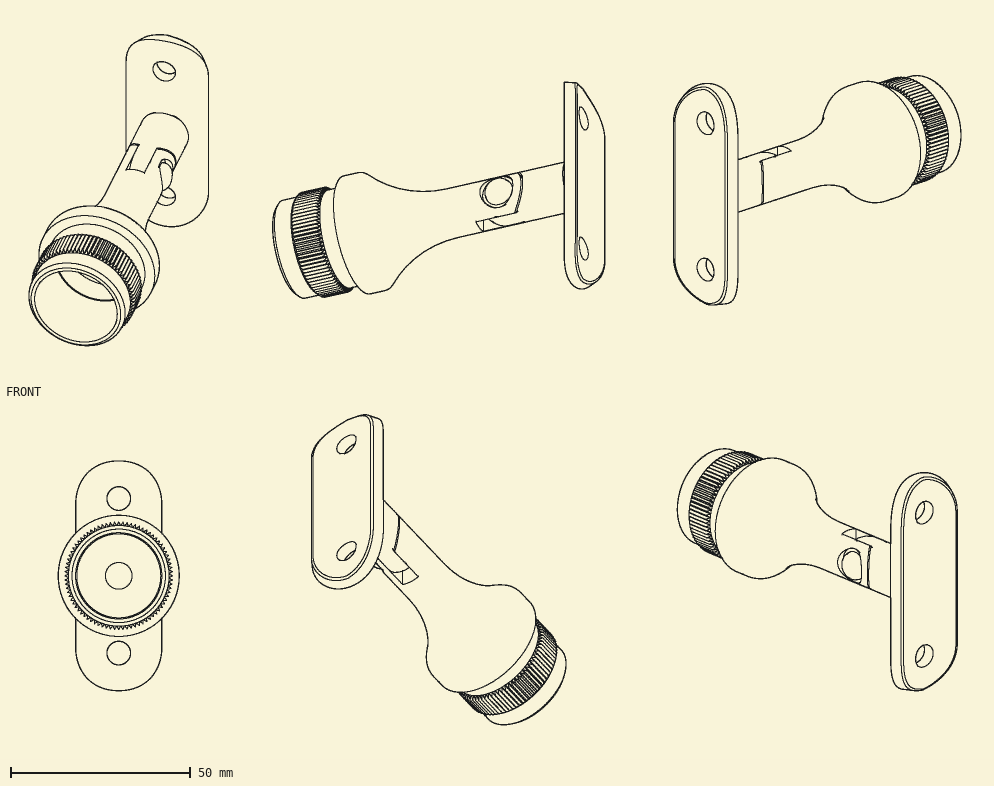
import cadquery as cq
import math

total_length = 90.65

rod_diameter = 14.0
rod_radius = rod_diameter / 2

saddle_width = 24.0
saddle_height = 64.0
saddle_outer_radius = 24.0
saddle_inner_radius = 20.4
saddle_bevel = 0.5
saddle_hole_diameter = 6.5
saddle_hole_height = 21.5
saddle_seat_y = 85.0
saddle_half_angle = math.asin(saddle_width / 2 / saddle_outer_radius)
saddle_tip_angle = saddle_half_angle - saddle_bevel / saddle_inner_radius
saddle_axis_y = total_length + saddle_inner_radius * math.cos(saddle_tip_angle)

joint_y = 65.0
joint_gap = 0.5
tongue_thickness = 5.3
slot_depth = 8.0
fork_end_radius = 7.4

shank_diameter = 5.0
shank_end_x = -5.4
head_diameter = 8.1
head_round = 2.9
head_top_x = 7.9
counterbore_diameter = 10.0
counterbore_floor_x = 4.9

flange_radius = 33.7 / 2
flange_base_y = 20.0
flange_round = 1.5
bell_start_y = 48.7
bell_arc_radius = 33.3

funnel_mouth_radius = 11.7
funnel_start_y = 27.2
funnel_end_y = 43.5
funnel_arc_radius = 31.7
blind_hole_radius = 3.7
blind_hole_floor_y = 52.6
blind_hole_round = 0.7

sleeve_diameter = 28.0
sleeve_radius = sleeve_diameter / 2
sleeve_bore = 24.0
sleeve_chamfer = 1.0
knurl_radius = 15.0
knurl_start_y = 6.0
knurl_end_y = 14.7
knurl_teeth = 80
knurl_root_radius = sleeve_radius - 0.1


def rod_y(diameter, start_y, end_y):
    """Cylinder on the Y axis."""
    return cq.Workplane("XZ", origin=(0, start_y, 0)).circle(diameter / 2).extrude(start_y - end_y)


def rod_x(diameter, start_x, end_x):
    """Cylinder along X, centred on the joint axis."""
    return cq.Workplane("YZ", origin=(start_x, joint_y, 0)).circle(diameter / 2).extrude(end_x - start_x)


def revolve_y(profile):
    """Close a profile drawn in the XY plane and turn it about the Y axis."""
    return profile.close().revolve(360, (0, 0, 0), (0, 1, 0))


def joint_slab(bottom_y):
    """Slab as thick as the tongue, wider than the rod, from bottom_y to above the joint."""
    size_y = total_length - bottom_y
    slab = cq.Workplane("XY").box(tongue_thickness, size_y, 2 * rod_diameter, centered=(True, False, True))
    return slab.translate((0, bottom_y, 0))


def make_saddle_half():
    """The +X half, about the handrail axis; its end roundings run parallel to its straight edge face."""
    reach = 2 * saddle_outer_radius
    ring = cq.Workplane("XY").circle(saddle_outer_radius).circle(saddle_inner_radius)
    ring = ring.extrude(saddle_height / 2, both=True)
    outline = cq.Workplane("XZ").center(-saddle_width / 2, 0).slot2D(saddle_height, saddle_width, 90)
    outline = outline.extrude(reach).rotate((0, 0, 0), (0, 0, 1), math.degrees(saddle_half_angle))
    positive_x = cq.Workplane("XY").box(reach, 2 * reach, 2 * saddle_height, centered=(False, True, True))
    return ring.intersect(outline).intersect(positive_x)


def make_saddle():
    half = make_saddle_half()
    plate = half.union(half.mirror("YZ"))
    plate = plate.faces(cq.selectors.NearestToPointSelector((0, 0, 0))).chamfer(saddle_bevel)
    plate = plate.translate((0, saddle_axis_y, 0))

    holes = cq.Workplane("XZ").pushPoints([(0, saddle_hole_height), (0, -saddle_hole_height)])
    holes = holes.circle(saddle_hole_diameter / 2).extrude(-2 * total_length)
    stem_seat = rod_y(rod_diameter, joint_y, saddle_seat_y)
    return plate.cut(holes).cut(stem_seat)


def make_stem():
    """Rod with a ball end, narrowed to a tongue where it enters the fork."""
    profile = (
        cq.Workplane("XY")
        .moveTo(0, saddle_seat_y)
        .lineTo(rod_radius, saddle_seat_y)
        .lineTo(rod_radius, joint_y)
        .radiusArc((0, joint_y - rod_radius), rod_radius)
    )
    rod = revolve_y(profile)
    fork_space = rod_x(2 * fork_end_radius, -rod_diameter, rod_diameter).translate((0, joint_gap, 0))
    beside_tongue = fork_space.cut(joint_slab(joint_y - rod_diameter))
    screw_hole = rod_x(shank_diameter, -rod_diameter, rod_diameter)
    return rod.cut(beside_tongue).cut(screw_hole)


def make_bell_shell():
    """Flange and trumpet-shaped neck, still solid inside."""
    arc_centre_radius = rod_radius + bell_arc_radius
    arc_angle = math.acos((arc_centre_radius - flange_radius) / bell_arc_radius)
    corner_y = bell_start_y - bell_arc_radius * math.sin(arc_angle)
    arc_middle = (
        arc_centre_radius - bell_arc_radius * math.cos(arc_angle / 2),
        bell_start_y - bell_arc_radius * math.sin(arc_angle / 2),
    )
    profile = (
        cq.Workplane("XY")
        .moveTo(0, flange_base_y)
        .lineTo(flange_radius, flange_base_y)
        .lineTo(flange_radius, corner_y)
        .threePointArc(arc_middle, (rod_radius, bell_start_y))
        .lineTo(0, bell_start_y)
    )
    flange_corner = cq.selectors.NearestToPointSelector((0, corner_y, 0))
    return revolve_y(profile).edges(flange_corner).fillet(flange_round)


def make_fork():
    """Slotted rod with arm ends rounded about the joint axis, bored for the screw."""
    rod = rod_y(rod_diameter, bell_start_y, joint_y + fork_end_radius)
    straight_part = rod_y(2 * rod_diameter, bell_start_y, joint_y)
    rounded_part = rod_x(2 * fork_end_radius, -rod_diameter, rod_diameter)
    arms = rod.intersect(straight_part.union(rounded_part))
    slot = joint_slab(joint_y - slot_depth)
    counterbore = rod_x(counterbore_diameter, counterbore_floor_x, rod_diameter)
    screw_hole = rod_x(shank_diameter, shank_end_x, rod_diameter)
    return arms.cut(slot).cut(counterbore).cut(screw_hole)


def make_funnel():
    """Hollow of the bell: a flared mouth and a blind hole with a rounded floor."""
    profile = (
        cq.Workplane("XY")
        .moveTo(0, flange_base_y)
        .lineTo(funnel_mouth_radius, flange_base_y)
        .lineTo(funnel_mouth_radius, funnel_start_y)
        .radiusArc((blind_hole_radius, funnel_end_y), funnel_arc_radius)
        .lineTo(blind_hole_radius, blind_hole_floor_y - blind_hole_round)
        .radiusArc((blind_hole_radius - blind_hole_round, blind_hole_floor_y), -blind_hole_round)
        .lineTo(0, blind_hole_floor_y)
    )
    return revolve_y(profile)


def make_bell():
    return make_bell_shell().union(make_fork()).cut(make_funnel())


def make_knurl():
    """Band of pointed teeth, bevelled at both ends; the roots are sunk slightly into the sleeve."""
    half_pitch = math.pi / knurl_teeth
    points = []
    for i in range(2 * knurl_teeth):
        radius = knurl_radius if i % 2 == 0 else knurl_root_radius
        points.append((radius * math.cos(i * half_pitch), radius * math.sin(i * half_pitch)))
    teeth = cq.Workplane("XZ", origin=(0, knurl_start_y, 0)).polyline(points).close()
    teeth = teeth.extrude(knurl_start_y - knurl_end_y)

    bevel = 2 * (knurl_radius - sleeve_radius)
    envelope = rod_y(2 * (sleeve_radius + bevel), knurl_start_y, knurl_end_y)
    envelope = envelope.faces("<Y or >Y").chamfer(bevel)
    return teeth.intersect(envelope)


def make_sleeve():
    tube = rod_y(sleeve_diameter, 0, flange_base_y).faces("<Y").chamfer(sleeve_chamfer)
    bore = rod_y(sleeve_bore, 0, flange_base_y)
    return tube.union(make_knurl()).cut(bore)


def make_screw():
    head = rod_x(head_diameter, counterbore_floor_x, head_top_x).faces(">X").edges().fillet(head_round)
    shank = rod_x(shank_diameter, shank_end_x, counterbore_floor_x)
    return head.union(shank)


saddle = make_saddle()
stem = make_stem()
bell = make_bell()
sleeve = make_sleeve()
screw = make_screw()

result = cq.Compound.makeCompound([saddle.val(), stem.val(), bell.val(), sleeve.val(), screw.val()])